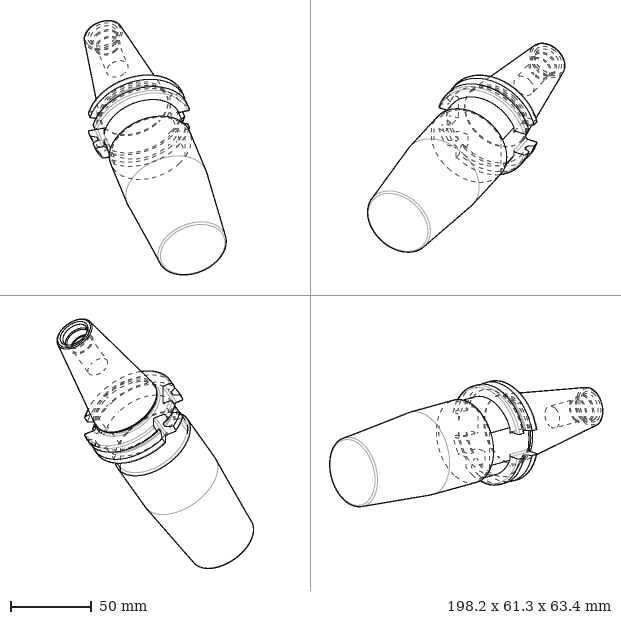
import cadquery as cq
import math

LENGTH = 198.2

TAPER_RATIO = 7 / 24
GAUGE_RADIUS = 22.2
TAPER_LENGTH = 68.0
TAPER_TIP_RADIUS = GAUGE_RADIUS - TAPER_LENGTH * TAPER_RATIO / 2
TIP_CHAMFER_LENGTH = 0.5
TIP_CHAMFER_DEPTH = 0.8
RELIEF_RADIUS = 21.8
RELIEF_STEP = 1.2
RELIEF_FILLET = 1.0

FLANGE_START = 71.4
FLANGE_END = 87.5
FLANGE_RADIUS = 31.7
FLANGE_EDGE_FILLET = 1.2
GROOVE_CENTER = 79.5
GROOVE_MOUTH = 6.7
GROOVE_ROOT_RADIUS = 28.0
GROOVE_SIDE_ANGLE = 30.0
GROOVE_ROOT_FILLET = 0.5

NECK_RADIUS = 25.0
BODY_START = 104.5
BODY_RADIUS = 26.5
NECK_FILLET = 1.2
NOSE_START = 141.2
NOSE_RADIUS = 22.0
NOSE_FILLET = 1.2

SLOT_WIDTH = 16.0
DEEP_SLOT_FLOOR = 22.6
SHALLOW_SLOT_FLOOR = NECK_RADIUS - 0.14
SHALLOW_SLOT_END = 103.9
SLOT_FILLET = 1.2

NOTCH_OFFSET = 18.2
NOTCH_FILLET = 1.2

MOUTH_RADIUS = 9.7
COUNTERBORE_RADIUS = 8.5
COUNTERBORE_DEPTH = 4.8
THREAD_RADIUS = 8.0
THREAD_DEPTH = 10.3
DRILL_RADIUS = 7.0
DRILL_DEPTH = 31.7
DRILL_POINT_ANGLE = 118.0


def make_shank():
    """Taper, relief, flange, neck and body without the groove."""
    relief_start = TAPER_LENGTH + RELIEF_STEP
    profile = (
        cq.Workplane("XY")
        .moveTo(0, 0)
        .lineTo(0, TAPER_TIP_RADIUS - TIP_CHAMFER_DEPTH)
        .lineTo(TIP_CHAMFER_LENGTH, TAPER_TIP_RADIUS + TIP_CHAMFER_LENGTH * TAPER_RATIO / 2)
        .lineTo(TAPER_LENGTH, GAUGE_RADIUS)
        .lineTo(relief_start, RELIEF_RADIUS)
        .lineTo(FLANGE_START - RELIEF_FILLET, RELIEF_RADIUS)
        .radiusArc((FLANGE_START, RELIEF_RADIUS + RELIEF_FILLET), -RELIEF_FILLET)
        .lineTo(FLANGE_START, FLANGE_RADIUS)
        .lineTo(FLANGE_END, FLANGE_RADIUS)
        .lineTo(FLANGE_END, NECK_RADIUS)
        .lineTo(BODY_START - NECK_FILLET, NECK_RADIUS)
        .radiusArc((BODY_START, NECK_RADIUS + NECK_FILLET), -NECK_FILLET)
        .lineTo(BODY_START, BODY_RADIUS)
        .lineTo(NOSE_START, BODY_RADIUS)
        .lineTo(LENGTH, NOSE_RADIUS)
        .lineTo(LENGTH, 0)
        .close()
    )
    shank = profile.revolve(360, (0, 0, 0), (1, 0, 0))
    rims = cq.selectors.RadiusNthSelector(-1)
    shank = shank.edges("%CIRCLE").edges(rims).fillet(FLANGE_EDGE_FILLET)
    return shank.faces(">X").edges().fillet(NOSE_FILLET)


def make_groove():
    """Ring-shaped cutter for the V groove around the flange."""
    half_mouth = GROOVE_MOUTH / 2
    half_root = half_mouth - (FLANGE_RADIUS - GROOVE_ROOT_RADIUS) * math.tan(math.radians(GROOVE_SIDE_ANGLE))
    outside = FLANGE_RADIUS + 2
    profile = cq.Workplane("XY").polyline([
        (GROOVE_CENTER - half_mouth, outside),
        (GROOVE_CENTER - half_mouth, FLANGE_RADIUS),
        (GROOVE_CENTER - half_root, GROOVE_ROOT_RADIUS),
        (GROOVE_CENTER + half_root, GROOVE_ROOT_RADIUS),
        (GROOVE_CENTER + half_mouth, FLANGE_RADIUS),
        (GROOVE_CENTER + half_mouth, outside),
    ]).close()
    ring = profile.revolve(360, (0, 0, 0), (1, 0, 0))
    root_edges = cq.selectors.RadiusNthSelector(0)
    return ring.edges("%CIRCLE").edges(root_edges).fillet(GROOVE_ROOT_FILLET)


def make_drive_slot(floor, end, side):
    """Slot cutter on the +Y (side = 1) or -Y (side = -1) side, rounded along its floor corners."""
    depth = FLANGE_RADIUS + 2 - floor
    length = end - FLANGE_START
    slot = (
        cq.Workplane("XY")
        .box(length, depth, SLOT_WIDTH, centered=(False, False, True))
        .faces("<Y").edges("|X").fillet(SLOT_FILLET)
        .translate((FLANGE_START, floor, 0))
    )
    return slot if side > 0 else slot.mirror("XZ")


def make_neck_flat():
    """Cutter that continues the deep slot floor as a flat across the whole neck."""
    return (
        cq.Workplane("XY")
        .box(BODY_START - FLANGE_END, FLANGE_RADIUS, 2 * FLANGE_RADIUS, centered=(False, False, True))
        .translate((FLANGE_END, DEEP_SLOT_FLOOR, 0))
    )


def make_notch():
    """Corner cutter for the orientation notch, rounded along its inner corner."""
    size = FLANGE_RADIUS
    width = FLANGE_END - FLANGE_START
    return (
        cq.Workplane("XY")
        .box(width, size, size, centered=False)
        .edges("|X and >Y and >Z").fillet(NOTCH_FILLET)
        .translate((FLANGE_START, -NOTCH_OFFSET - size, -NOTCH_OFFSET - size))
    )


def make_stud_hole():
    """Stepped blind hole with a countersunk mouth and a drill-point bottom."""
    point_depth = DRILL_RADIUS / math.tan(math.radians(DRILL_POINT_ANGLE / 2))
    thread_start = COUNTERBORE_DEPTH + COUNTERBORE_RADIUS - THREAD_RADIUS
    profile = cq.Workplane("XY").polyline([
        (0, 0),
        (0, MOUTH_RADIUS),
        (MOUTH_RADIUS - COUNTERBORE_RADIUS, COUNTERBORE_RADIUS),
        (COUNTERBORE_DEPTH, COUNTERBORE_RADIUS),
        (thread_start, THREAD_RADIUS),
        (THREAD_DEPTH, THREAD_RADIUS),
        (THREAD_DEPTH, DRILL_RADIUS),
        (DRILL_DEPTH, DRILL_RADIUS),
        (DRILL_DEPTH + point_depth, 0),
    ]).close()
    return profile.revolve(360, (0, 0, 0), (1, 0, 0))


result = (
    make_shank()
    .cut(make_groove())
    .cut(make_drive_slot(DEEP_SLOT_FLOOR, BODY_START, 1))
    .cut(make_drive_slot(SHALLOW_SLOT_FLOOR, SHALLOW_SLOT_END, -1))
    .cut(make_neck_flat())
    .cut(make_notch())
    .cut(make_stud_hole())
)